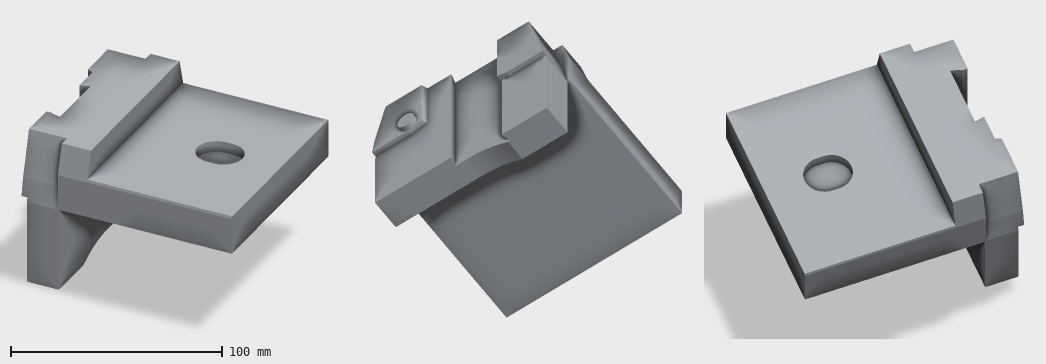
import cadquery as cq
import math

JAW_FACE = 2.9
PLATE_FACE = 6.0
POCKET_FLOOR = 11.1
PLATE_BACK = 22.9
STEP_BACK = 38.4
TOTAL_LENGTH = 115.2

TOTAL_HEIGHT = 79.0
SLAB_TOP = 65.0
SLAB_SHOULDER = 63.6
SLAB_BOTTOM = 44.7
HEAD_SHOULDER = 55.5
HEAD_BOTTOM = 43.8
JAW_BOTTOM = 46.1
SHALLOW_BOTTOM = 6.3

SLAB_HALF_WIDTH = 102.0 / 2
PLATE_HALF_WIDTH = 49.9
HEAD_TOP_HALF_WIDTH = 41.6

SLOPE = math.tan(math.radians(15))
RECESS_LEFT = 20.6
RECESS_LEFT_INNER = 19.4
RECESS_RIGHT = -23.3
POCKET_LEFT = 5.5
POCKET_RIGHT = -23.7
JAW_CORNER = 28.5

PIN_DIAMETER = 9.5
PIN_Y = 28.0
PIN_Z = 51.3

SLOT_X = 83.3
SLOT_LENGTH = 23.9
SLOT_WIDTH = 20.2
SLOT_DEPTH = 5.8


def box(x_range, y_range, z_range):
    """Box spanning the given ranges."""
    sizes = [high - low for low, high in (x_range, y_range, z_range)]
    corner = (x_range[0], y_range[0], z_range[0])
    return cq.Workplane("XY").box(*sizes, centered=False).translate(corner)


def symmetric_profile(half_outline, x_start, x_end):
    """Extrude a YZ half outline, mirrored about Y = 0, along X."""
    mirrored = [(-y, z) for y, z in reversed(half_outline)]
    profile = cq.Workplane("YZ", origin=(x_start, 0, 0)).polyline(half_outline + mirrored)
    return profile.close().extrude(x_end - x_start)


def make_slab():
    """Slab with a raised step, both under the same sloping sides."""
    top_half_width = SLAB_HALF_WIDTH - (TOTAL_HEIGHT - SLAB_SHOULDER) * SLOPE
    half_outline = [
        (SLAB_HALF_WIDTH, SLAB_BOTTOM),
        (SLAB_HALF_WIDTH, SLAB_SHOULDER),
        (top_half_width, TOTAL_HEIGHT),
    ]
    slab = symmetric_profile(half_outline, PLATE_BACK, TOTAL_LENGTH)
    across = (-SLAB_HALF_WIDTH, SLAB_HALF_WIDTH)
    slab = slab.cut(box((STEP_BACK, TOTAL_LENGTH), across, (SLAB_TOP, TOTAL_HEIGHT)))
    slot = (
        cq.Workplane("XY", origin=(SLOT_X, 0, SLAB_TOP))
        .slot2D(SLOT_LENGTH, SLOT_WIDTH)
        .extrude(-SLOT_DEPTH)
    )
    return slab.cut(slot)


def make_head():
    """Tapered head, with two jaws in front of the plate face."""
    shoulder_half_width = HEAD_TOP_HALF_WIDTH + (TOTAL_HEIGHT - HEAD_SHOULDER) * SLOPE
    half_outline = [
        (PLATE_HALF_WIDTH, HEAD_BOTTOM),
        (shoulder_half_width, HEAD_SHOULDER),
        (HEAD_TOP_HALF_WIDTH, TOTAL_HEIGHT),
    ]
    head = symmetric_profile(half_outline, JAW_FACE, PLATE_BACK)
    rise = JAW_CORNER * SLOPE
    below_jaws = (
        cq.Workplane("YZ", origin=(JAW_FACE, 0, 0))
        .moveTo(-PLATE_HALF_WIDTH, 0)
        .lineTo(-PLATE_HALF_WIDTH, JAW_BOTTOM)
        .lineTo(-JAW_CORNER, JAW_BOTTOM)
        .lineTo(0, JAW_BOTTOM + rise)
        .lineTo(JAW_CORNER, JAW_BOTTOM)
        .lineTo(PLATE_HALF_WIDTH, JAW_BOTTOM)
        .lineTo(PLATE_HALF_WIDTH, 0)
        .close()
        .extrude(PLATE_FACE - JAW_FACE)
    )
    return head.cut(below_jaws)


def make_plate():
    """Hanging plate whose lower edge drops along an arc to the right side."""
    radius = (POCKET_RIGHT**2 + SHALLOW_BOTTOM**2) / (2 * SHALLOW_BOTTOM)
    arc_middle_y = POCKET_RIGHT / 2
    arc_middle_z = SHALLOW_BOTTOM - radius + math.sqrt(radius**2 - arc_middle_y**2)
    return (
        cq.Workplane("YZ", origin=(PLATE_FACE, 0, 0))
        .moveTo(PLATE_HALF_WIDTH, HEAD_BOTTOM)
        .lineTo(PLATE_HALF_WIDTH, SHALLOW_BOTTOM)
        .lineTo(0, SHALLOW_BOTTOM)
        .threePointArc((arc_middle_y, arc_middle_z), (POCKET_RIGHT, 0))
        .lineTo(-PLATE_HALF_WIDTH, 0)
        .lineTo(-PLATE_HALF_WIDTH, HEAD_BOTTOM)
        .close()
        .extrude(PLATE_BACK - PLATE_FACE)
    )


def make_front_recess():
    """Cutter for the gap between the jaws and the dovetail pocket behind it."""
    gap = [
        (JAW_FACE, RECESS_LEFT),
        (PLATE_FACE, RECESS_LEFT_INNER),
        (PLATE_FACE, RECESS_RIGHT),
        (JAW_FACE, RECESS_RIGHT),
    ]
    undercut = (POCKET_FLOOR - PLATE_FACE) * SLOPE
    pocket = [
        (PLATE_FACE, POCKET_LEFT),
        (POCKET_FLOOR, POCKET_LEFT + undercut),
        (POCKET_FLOOR, POCKET_RIGHT - undercut),
        (PLATE_FACE, POCKET_RIGHT),
    ]
    gap_cutter = cq.Workplane("XY").polyline(gap).close().extrude(TOTAL_HEIGHT)
    pocket_cutter = cq.Workplane("XY").polyline(pocket).close().extrude(TOTAL_HEIGHT)
    return gap_cutter.union(pocket_cutter)


def make_pin():
    """Round pin projecting from the left jaw."""
    return cq.Workplane("YZ").center(PIN_Y, PIN_Z).circle(PIN_DIAMETER / 2).extrude(JAW_FACE)


result = make_slab().union(make_head()).union(make_plate())
result = result.cut(make_front_recess()).union(make_pin())